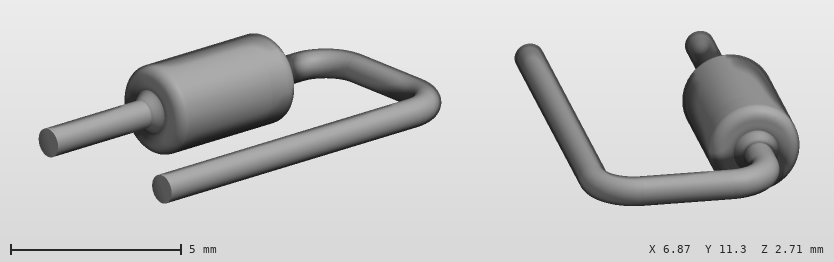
import cadquery as cq


housing_radius = 1.355
housing_length = 4.6
end_round = 0.35
neck_base_radius = 0.67
neck_length = 0.3

band_width = 0.62
band_depth = 0.1
band_margin = 0.065

lead_radius = 0.435
lead_pitch = 5.08
bend_radius = 1.2
straight_lead_reach = 3.92
overall_length = 11.31

rear_face = housing_length / 2
front_face = -rear_face
neck_rear_tip = rear_face + neck_length
neck_front_tip = front_face - neck_length
lead_tip = front_face - straight_lead_reach
crossbar_axis = lead_tip + overall_length - lead_radius
bend_start = crossbar_axis - bend_radius
band_rear = rear_face - end_round - band_margin
band_front = band_rear - band_width


def plane_across_axis(y):
    """Sketch plane at a Y position, facing +Y."""
    return cq.Plane(origin=(0, y, 0), xDir=(1, 0, 0), normal=(0, 1, 0))


def make_band():
    return (
        cq.Workplane(plane_across_axis(band_front))
        .circle(housing_radius)
        .circle(housing_radius - band_depth)
        .extrude(band_width)
    )


def make_housing(band):
    """Round-ended barrel with a tapered neck at each end and a groove for the band."""
    flat_radius = housing_radius - end_round
    round_middle = end_round * 0.5 ** 0.5
    arc_centre_y = rear_face - end_round
    profile = (
        cq.Workplane("XY")
        .moveTo(0, neck_front_tip)
        .lineTo(lead_radius, neck_front_tip)
        .lineTo(neck_base_radius, front_face)
        .lineTo(flat_radius, front_face)
        .threePointArc(
            (flat_radius + round_middle, -arc_centre_y - round_middle),
            (housing_radius, -arc_centre_y),
        )
        .lineTo(housing_radius, arc_centre_y)
        .threePointArc(
            (flat_radius + round_middle, arc_centre_y + round_middle),
            (flat_radius, rear_face),
        )
        .lineTo(neck_base_radius, rear_face)
        .lineTo(lead_radius, neck_rear_tip)
        .lineTo(0, neck_rear_tip)
        .close()
    )
    return profile.revolve(360, (0, 0, 0), (0, 1, 0)).cut(band).solids()


def make_straight_lead():
    return (
        cq.Workplane(plane_across_axis(lead_tip))
        .circle(lead_radius)
        .extrude(neck_front_tip - lead_tip)
    )


def make_bent_lead():
    """Wire leaving the rear neck and turning back through two right-angle bends."""
    path = (
        cq.Workplane("XY")
        .moveTo(0, neck_rear_tip)
        .lineTo(0, bend_start)
        .tangentArcPoint((bend_radius, crossbar_axis), relative=False)
        .lineTo(lead_pitch - bend_radius, crossbar_axis)
        .tangentArcPoint((lead_pitch, bend_start), relative=False)
        .lineTo(lead_pitch, lead_tip)
    )
    return cq.Workplane(plane_across_axis(neck_rear_tip)).circle(lead_radius).sweep(path)


band = make_band()
housing = make_housing(band)
straight_lead = make_straight_lead()
bent_lead = make_bent_lead()

result = cq.Compound.makeCompound(
    [housing.val(), band.val(), straight_lead.val(), bent_lead.val()]
)